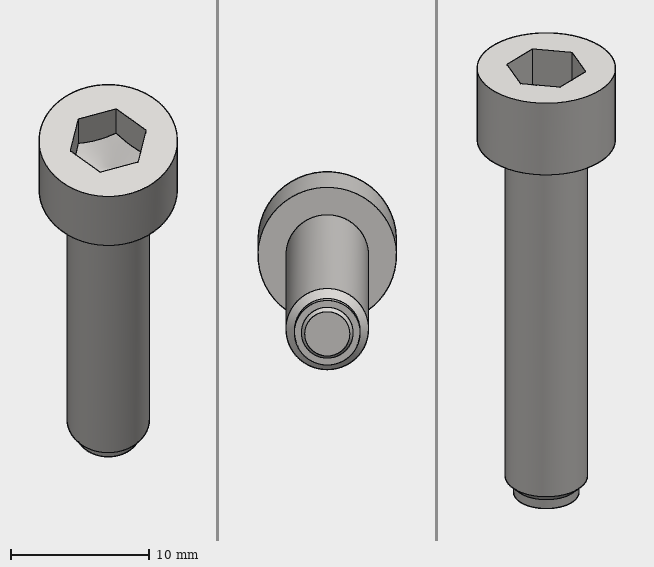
import cadquery as cq
import math

total_length = 36.0
head_diameter = 10.0
head_height = 6.0
shank_radius = 3.0

collar_radius = 2.38
collar_bottom = 0.45
collar_top = 1.2
chamfer_height = shank_radius - collar_radius

ball_radius = 2.0
ball_center_z = collar_top

socket_across_flats = 5.0
socket_depth = 3.0
socket_floor_half_angle = 60.0


def make_ball():
    """Sphere centred in the collar and cut off flat below Z = 0."""
    sphere = cq.Workplane("XY").sphere(ball_radius).translate((0, 0, ball_center_z))
    below_flat = cq.Workplane("XY").box(
        2 * ball_radius, 2 * ball_radius, ball_radius, centered=(True, True, False)
    ).translate((0, 0, -ball_radius))
    return sphere.cut(below_flat)


def make_screw_blank():
    """Revolved head, shank, end chamfer and collar."""
    head_radius = head_diameter / 2
    head_bottom = total_length - head_height
    half_profile = (
        cq.Workplane("XZ")
        .moveTo(0, collar_bottom)
        .lineTo(collar_radius, collar_bottom)
        .lineTo(collar_radius, collar_top)
        .lineTo(shank_radius, collar_top + chamfer_height)
        .lineTo(shank_radius, head_bottom)
        .lineTo(head_radius, head_bottom)
        .lineTo(head_radius, total_length)
        .lineTo(0, total_length)
        .close()
    )
    return half_profile.revolve(360, (0, 0, 0), (0, 1, 0))


def make_socket():
    """Hexagonal prism whose lower end is trimmed by a cone through its corners."""
    corner_radius = socket_across_flats / math.sqrt(3)
    cone_depth = corner_radius / math.tan(math.radians(socket_floor_half_angle))
    cone_top = total_length - socket_depth
    hexagon = (
        cq.Workplane("XY", origin=(0, 0, cone_top - cone_depth))
        .polygon(6, 2 * corner_radius)
        .extrude(socket_depth + cone_depth)
    )
    pointed_drill = (
        cq.Workplane("XZ")
        .moveTo(0, cone_top - cone_depth)
        .lineTo(corner_radius, cone_top)
        .lineTo(corner_radius, total_length)
        .lineTo(0, total_length)
        .close()
        .revolve(360, (0, 0, 0), (0, 1, 0))
    )
    return hexagon.intersect(pointed_drill)


ball = make_ball()
screw = make_screw_blank().cut(make_socket()).cut(ball)

result = cq.Compound.makeCompound([screw.solids().val(), ball.solids().val()])